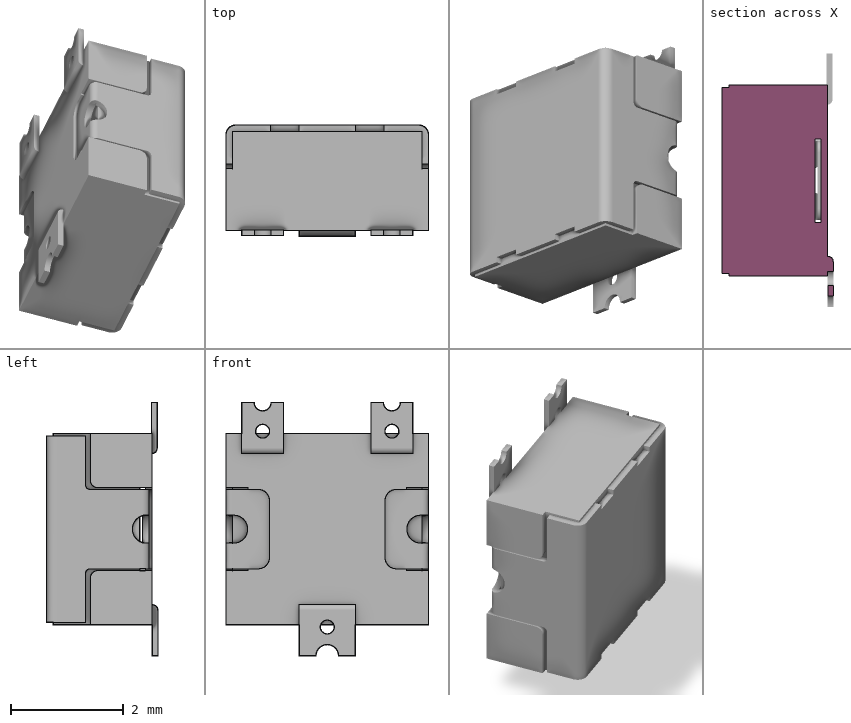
import cadquery as cq


body_width = 3.6
body_height = 3.4
body_back = 1.76

sheet = 0.115
cover_height = 3.31
cover_back = body_back + sheet
cover_bend_radius = 0.18
cover_edge = 1.185
edge_notch_width = 0.505
edge_notch_depth = 0.1
edge_notch_x = 0.75

arm_height = 1.41
arm_root_radius = 0.085
arm_front = 0.06
arm_bend_radius = sheet
arm_reach = 0.775
flap_corner_radius = 0.2
arm_hole_radius = 0.248
arm_hole_side_y = 0.105
arm_hole_front_inset = 0.14

recess_edge = 1.1
recess_slot_height = 1.47
recess_corner_radius = 0.135
front_wall = 0.12
passage_back = 0.22
front_notch_inset = 0.39

overall_height = 4.5
terminal_length = 0.91
terminal_thickness = 0.105
terminal_bend_radius = 0.1
terminal_hole_radius = 0.12
terminal_hole_from_end = 0.515
upper_terminal_front = -0.09
upper_terminal_width = 0.745
upper_terminal_x = 1.148
upper_notch_radius = 0.15
lower_terminal_front = -0.105
lower_terminal_width = 1.0
lower_notch_radius = 0.2

half_width = body_width / 2


def block(x_size, y_min, y_max, z_size, x_center=0.0, z_center=0.0):
    """Box centred in X and Z that runs from y_min to y_max."""
    box = cq.Workplane("XY").box(x_size, y_max - y_min, z_size)
    return box.translate((x_center, (y_min + y_max) / 2, z_center))


def y_cylinder(radius, x, z, y_min, y_max):
    """Round bar along Y."""
    bar = cq.Workplane("XZ", origin=(x, y_max, z))
    return bar.circle(radius).extrude(y_max - y_min)


def side_tee(y_edge, y_front, stem_height, full_height, back):
    """T-shaped side outline through the whole width: tall at the back, a stem to the front."""
    stem = stem_height / 2
    tall = full_height / 2
    outline = [
        (back, tall), (y_edge, tall), (y_edge, stem), (y_front, stem),
        (y_front, -stem), (y_edge, -stem), (y_edge, -tall), (back, -tall),
    ]
    return cq.Workplane("YZ").polyline(outline).close().extrude(half_width, both=True)


def root_edges(y_edge):
    """Selects the two X-parallel edges where the stem meets the tall part."""
    reach = 0.005
    return cq.selectors.BoxSelector(
        (-half_width - reach, y_edge - reach, -recess_slot_height / 2 - reach),
        (half_width + reach, y_edge + reach, recess_slot_height / 2 + reach),
    )


def flap(side, y_min, y_max):
    """Plate from the outer side inwards, with its inner corners rounded."""
    plate = block(arm_reach, y_min, y_max, arm_height, side * (half_width - arm_reach / 2))
    inner_face = "<X" if side > 0 else ">X"
    return plate.faces(inner_face).edges("|Y").fillet(flap_corner_radius)


def make_body():
    body = block(body_width, 0, body_back, body_height)

    core = block(body_width - 2 * sheet, 0, body_back, body_height)
    recess = side_tee(recess_edge, passage_back, recess_slot_height, body_height, body_back)
    recess = recess.edges(root_edges(recess_edge)).fillet(recess_corner_radius)
    body = body.cut(recess.cut(core))

    body = body.cut(block(body_width, front_wall, passage_back, recess_slot_height))

    for side in (-1, 1):
        notch_x = side * (half_width - front_notch_inset / 2)
        body = body.cut(block(front_notch_inset, 0, front_wall, recess_slot_height, notch_x))
        body = body.cut(flap(side, 0, front_wall))
    return body


def make_cover():
    channel = block(body_width, arm_front, cover_back, cover_height)
    channel = channel.edges("|Z and >Y").fillet(cover_bend_radius)
    channel = channel.cut(block(body_width - 2 * sheet, arm_front, body_back, cover_height))
    tee = side_tee(cover_edge, arm_front, arm_height, cover_height, cover_back)
    tee = tee.edges(root_edges(cover_edge)).fillet(arm_root_radius)
    cover = channel.intersect(tee)

    for side in (-1, 1):
        cover = cover.union(flap(side, arm_front, arm_front + sheet))
    for outer_side in ("<X", ">X"):
        cover = cover.faces(outer_side).edges("|Z and <Y").fillet(arm_bend_radius)

    side_hole = cq.Workplane("YZ").center(arm_hole_side_y, 0).circle(arm_hole_radius)
    side_hole = side_hole.extrude(half_width, both=True)
    between_walls = block(body_width - 2 * sheet, -body_back, body_back, body_height)
    cover = cover.cut(side_hole.cut(between_walls))
    for side in (-1, 1):
        hole_x = side * (half_width - arm_hole_front_inset)
        cover = cover.cut(y_cylinder(arm_hole_radius, hole_x, 0, 0, arm_front + sheet))

    for side in (-1, 1):
        for end in (-1, 1):
            notch_z = end * (cover_height - edge_notch_depth) / 2
            cover = cover.cut(block(
                edge_notch_width, body_back, cover_back, edge_notch_depth,
                side * edge_notch_x, notch_z))
    return cover


def make_terminal(x, end, width, front, notch_radius):
    """Flat terminal; end is 1 for the top of the part and -1 for the bottom."""
    back = front + terminal_thickness
    tip_z = end * overall_height / 2
    plate = block(width, front, back, terminal_length, x, tip_z - end * terminal_length / 2)
    root_face = "<Z" if end > 0 else ">Z"
    plate = plate.faces(root_face).edges("|X and <Y").fillet(terminal_bend_radius)
    hole_z = tip_z - end * terminal_hole_from_end
    plate = plate.cut(y_cylinder(terminal_hole_radius, x, hole_z, front, back))
    return plate.cut(y_cylinder(notch_radius, x, tip_z, front, back))


result = make_body().union(make_cover())
for side in (-1, 1):
    result = result.union(make_terminal(
        side * upper_terminal_x, 1, upper_terminal_width, upper_terminal_front, upper_notch_radius))
result = result.union(make_terminal(
    0, -1, lower_terminal_width, lower_terminal_front, lower_notch_radius))